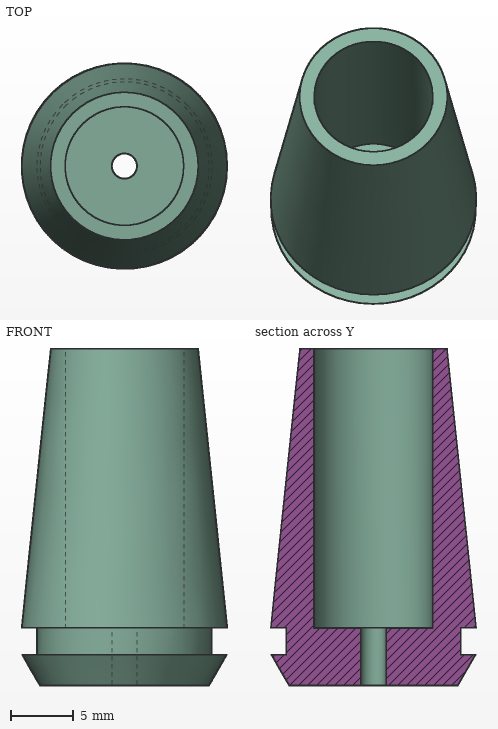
import cadquery as cq

height = 27.0
base_diameter = 16.5
base_radius = base_diameter / 2
top_radius = 5.9

flange_bottom_radius = 6.78
flange_radius = 8.2
flange_height = 2.48
groove_radius = 7.02
groove_width = 2.13
groove_top = flange_height + groove_width

bore_radius = 4.75
through_radius = 1.0
floor_height = groove_top

outer_profile = [
    (0, 0),
    (flange_bottom_radius, 0),
    (flange_radius, flange_height),
    (groove_radius, flange_height),
    (groove_radius, groove_top),
    (base_radius, groove_top),
    (top_radius, height),
    (0, height),
]
body = cq.Workplane("XZ").polyline(outer_profile).close().revolve(360, (0, 0), (0, 1))

bore = cq.Workplane("XY").workplane(offset=floor_height).circle(bore_radius).extrude(height - floor_height)
through_hole = cq.Workplane("XY").circle(through_radius).extrude(height)

result = body.cut(bore).cut(through_hole)